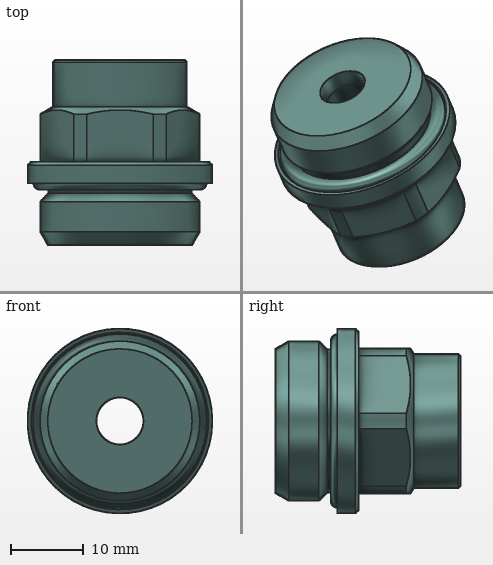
import cadquery as cq
import math

length = 25.5
flange_diameter = 25.5

thread_diameter = 22.0
thread_chamfer_length = 1.84
thread_chamfer_angle = 30.0
thread_end = 6.0
neck_diameter = 19.8

flange_front = 8.5
flange_thickness = 3.0
flange_chamfer = 0.5
flange_back = flange_front + flange_thickness

hex_sides = 6
hex_turn = 180.0 / hex_sides
across_flats = 20.02
hex_corner_diameter = 22.0
hex_end = 19.05
hex_chamfer_angle = 30.0

spigot_diameter = 18.5
spigot_chamfer = 0.3

front_bore_diameter = 6.5
front_bore_depth = 2.4
back_bore_diameter = 6.45

seal_front = 7.6
seal_outer_diameter = 23.97
seal_section_radius = (seal_outer_diameter - neck_diameter) / 4
seal_centre_radius = neck_diameter / 2 + seal_section_radius
seal_centre_y = seal_front + seal_section_radius
groove_diameter = 24.43
groove_wall_angle = 28.0
groove_bottom = seal_centre_y + seal_section_radius


def cylinder(diameter, start, end):
    """Solid cylinder about the Y axis from Y = start to Y = end."""
    plane = cq.Workplane("XZ", origin=(0, start, 0))
    return plane.circle(diameter / 2).extrude(start - end)


def revolve_profile(points):
    """Solid of revolution about the Y axis from (radius, Y) points."""
    return cq.Workplane("XY").polyline(points).close().revolve(360, (0, 0, 0), (0, 1, 0))


def make_front_end():
    """Threaded end, neck and flange with the seal groove."""
    thread_radius = thread_diameter / 2
    neck_radius = neck_diameter / 2
    flange_radius = flange_diameter / 2
    tip_radius = thread_radius - thread_chamfer_length * math.tan(math.radians(thread_chamfer_angle))
    neck_start = thread_end + thread_radius - neck_radius
    groove_depth = groove_bottom - flange_front
    groove_taper = groove_depth * math.tan(math.radians(groove_wall_angle))
    groove_bottom_radius = groove_diameter / 2 - groove_taper
    return revolve_profile([
        (0, 0),
        (tip_radius, 0),
        (thread_radius, thread_chamfer_length),
        (thread_radius, thread_end),
        (neck_radius, neck_start),
        (neck_radius, groove_bottom),
        (groove_bottom_radius, groove_bottom),
        (groove_diameter / 2, flange_front),
        (flange_radius, flange_front),
        (flange_radius, flange_back - flange_chamfer),
        (flange_radius - flange_chamfer, flange_back),
        (0, flange_back),
    ])


def make_hexagon():
    """Hexagon with turned corners and a conical chamfer on its back end."""
    corner_radius = hex_corner_diameter / 2
    spigot_radius = spigot_diameter / 2
    chamfer_length = (corner_radius - spigot_radius) * math.tan(math.radians(hex_chamfer_angle))
    turned_blank = revolve_profile([
        (0, flange_back),
        (corner_radius, flange_back),
        (corner_radius, hex_end - chamfer_length),
        (spigot_radius, hex_end),
        (0, hex_end),
    ])
    prism = (
        cq.Workplane("XZ", origin=(0, flange_back, 0))
        .polygon(hex_sides, across_flats, circumscribed=True)
        .extrude(flange_back - hex_end)
        .rotate((0, 0, 0), (0, 1, 0), hex_turn)
    )
    return turned_blank.intersect(prism)


def make_spigot():
    """Plain cylinder behind the hexagon, chamfered at its end."""
    return cylinder(spigot_diameter, hex_end, length).faces(">Y").chamfer(spigot_chamfer)


def make_fitting():
    """Turned fitting: threaded end, flange, hexagon and spigot with a through bore."""
    fitting = make_front_end().union(make_hexagon()).union(make_spigot())
    front_bore = cylinder(front_bore_diameter, 0, front_bore_depth)
    back_bore = cylinder(back_bore_diameter, front_bore_depth, length)
    return fitting.cut(front_bore).cut(back_bore)


def make_seal():
    """Sealing ring of round section."""
    return (
        cq.Workplane("XY")
        .center(seal_centre_radius, seal_centre_y)
        .circle(seal_section_radius)
        .revolve(360, (-seal_centre_radius, 0, 0), (-seal_centre_radius, 1, 0))
    )


fitting = make_fitting()
seal = make_seal()
result = cq.Compound.makeCompound([fitting.val(), seal.val()])